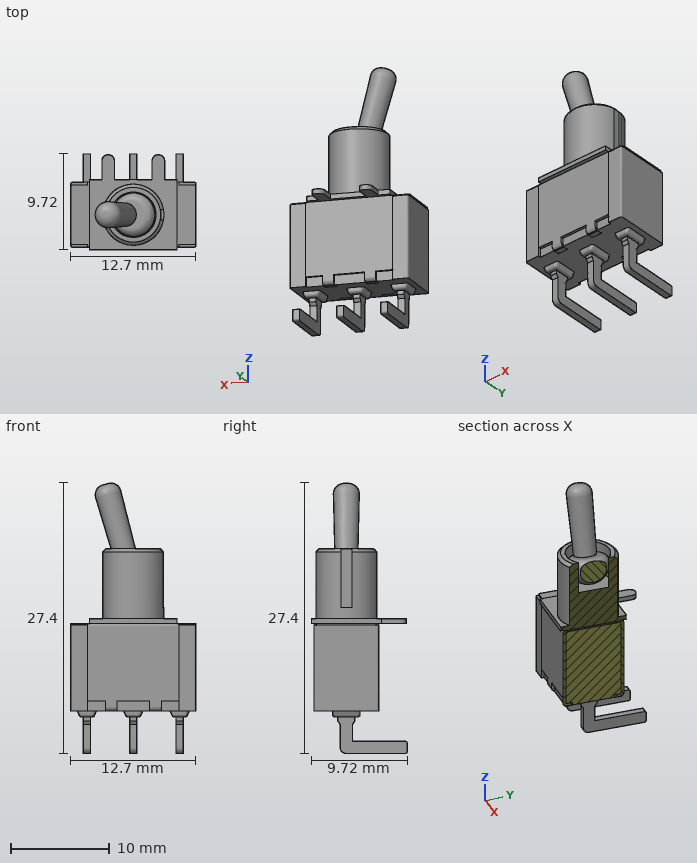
import cadquery as cq
import math


housing_length = 12.7
housing_width = 6.6
housing_height = 8.87
housing_edge_radius = 0.2

frame_length = 9.3
frame_thickness = 0.3
cover_thickness = 0.17
frame_bend_radius = frame_thickness
frame_lower_edge = 1.0
frame_corner_radius = 0.15
tab_width = 1.2
tab_spacing = 4.48
tab_bend_radius = 0.43
tab_hook_length = 1.0

plate_length = 8.9
plate_width = 7.1
plate_thickness = 0.5
finger_width = 1.3
finger_spacing = 5.08
finger_length = 2.54
bushing_diameter = 6.2
bushing_height = 7.1
bushing_chamfer = 0.33
bore_diameter = 4.6
keyway_width = 1.1
keyway_depth = 0.3
keyway_length = 6.0

ball_diameter = 4.4
ball_drop = 1.2
ball_clearance = 0.05
ball_flat_height = 0.75
ball_flat_fillet = 0.75
lever_tilt = 15.5
lever_offset = 0.66
rod_base_radius = 1.17
rod_top_radius = 1.33
rod_length = 6.41
tip_height = 1.03
tip_flat_radius = 0.3

terminal_pitch = 4.7
terminal_count = 3
terminal_thickness = 0.75
terminal_width = 1.25
shoulder_width = 1.75
shoulder_bottom = -1.0
neck_top = -1.37
foot_bottom = -4.3
foot_reach = 6.17
foot_heel_radius = 0.6
foot_tip_radius = 0.2
seal_height = 0.6
seal_top_length = 1.95
seal_bottom_length = 1.4
seal_width = 2.8
seal_edge_radius = 0.3
seal_bottom_radius = 0.28

frame_inner_width = housing_width - 2 * frame_thickness
cover_bottom = housing_height - cover_thickness
plate_top = housing_height + plate_thickness
bushing_top = plate_top + bushing_height
ball_center_height = bushing_top - ball_drop
bore_floor = ball_center_height - ball_diameter / 2 - ball_clearance
tab_centers = [-tab_spacing / 2, tab_spacing / 2]
finger_centers = [-finger_spacing / 2, finger_spacing / 2]
terminal_centers = [(i - (terminal_count - 1) / 2) * terminal_pitch for i in range(terminal_count)]


def block(length, width, bottom, top):
    """Box centred on the Z axis between two heights."""
    return cq.Workplane("XY").workplane(offset=bottom).rect(length, width).extrude(top - bottom)


def make_tab_hooks():
    """Two bent straps per long side that hook under the housing."""
    opening_width = housing_width - 2 * tab_hook_length
    strap = (
        block(tab_width, housing_width, 0, frame_lower_edge)
        .edges("|X and <Z").fillet(tab_bend_radius)
        .cut(block(tab_width, frame_inner_width, frame_thickness, frame_lower_edge))
        .cut(block(tab_width, opening_width, 0, frame_lower_edge))
    )
    hooks = strap.translate((tab_centers[0], 0, 0))
    for center in tab_centers[1:]:
        hooks = hooks.union(strap.translate((center, 0, 0)))
    return hooks


def make_frame(hooks):
    """Sheet-metal cover plate with a narrower wall bent down each long side."""
    walls = (
        block(frame_length, housing_width, frame_lower_edge, housing_height)
        .edges("|X and >Z").fillet(frame_bend_radius)
        .cut(block(frame_length, frame_inner_width, frame_lower_edge, cover_bottom))
        .edges("|Y and <Z").fillet(frame_corner_radius)
    )
    cover = (
        block(housing_length, frame_inner_width, cover_bottom, housing_height)
        .edges("|Z").fillet(frame_corner_radius)
    )
    return walls.union(cover).union(hooks)


def make_housing(hooks):
    """Rounded block with a channel down each long side and hook recesses."""
    body = block(housing_length, housing_width, 0, cover_bottom).edges("|Z").fillet(housing_edge_radius)
    channels = block(frame_length, housing_width, 0, cover_bottom).cut(
        block(frame_length, frame_inner_width, 0, cover_bottom)
    )
    return body.cut(channels).cut(hooks)


def make_bushing():
    """Mounting plate with two solder fingers, carrying the bored bushing."""
    plate = block(plate_length, plate_width, housing_height, plate_top)
    tip_center_y = plate_width / 2 + finger_length - finger_width / 2
    for center in finger_centers:
        finger = (
            cq.Workplane("XY", origin=(center, 0, housing_height))
            .moveTo(-finger_width / 2, 0)
            .lineTo(-finger_width / 2, tip_center_y)
            .threePointArc((0, tip_center_y + finger_width / 2), (finger_width / 2, tip_center_y))
            .lineTo(finger_width / 2, 0)
            .close()
            .extrude(plate_thickness)
        )
        plate = plate.union(finger)
    barrel = (
        cq.Workplane("XY", origin=(0, 0, plate_top))
        .circle(bushing_diameter / 2).extrude(bushing_height)
        .faces(">Z").edges().chamfer(bushing_chamfer)
    )
    keyway = block(2 * keyway_depth, keyway_width, bushing_top - keyway_length, bushing_top).translate(
        (bushing_diameter / 2, 0, 0)
    )
    bore = (
        cq.Workplane("XY", origin=(0, 0, bore_floor))
        .circle(bore_diameter / 2).extrude(bushing_top - bore_floor)
    )
    return plate.union(barrel).cut(keyway).cut(bore)


def make_lever():
    """Flattened ball with a tapered, round-ended rod, tilted towards -X."""
    ball_radius = ball_diameter / 2
    ball = (
        cq.Workplane("XY").sphere(ball_radius)
        .cut(block(ball_diameter, ball_diameter, ball_flat_height, ball_radius))
        .faces(">Z").edges().fillet(ball_flat_fillet)
    )
    rod_end = ball_flat_height + rod_length
    tip_top = rod_end + tip_height
    diagonal = math.sqrt(0.5)
    tip_corner = (
        tip_flat_radius + (rod_top_radius - tip_flat_radius) * diagonal,
        rod_end + tip_height * diagonal,
    )
    rod = (
        cq.Workplane("XZ")
        .lineTo(rod_base_radius, 0)
        .lineTo(rod_top_radius, rod_end)
        .threePointArc(tip_corner, (tip_flat_radius, tip_top))
        .lineTo(0, tip_top)
        .close()
        .revolve(360, (0, 0, 0), (0, 1, 0))
        .translate((-lever_offset, 0, 0))
    )
    return (
        ball.union(rod)
        .rotate((0, 0, 0), (0, 1, 0), -lever_tilt)
        .translate((0, 0, ball_center_height))
    )


def make_terminal(center):
    """L-shaped pin with a wide shoulder at the housing and a foot towards +Y."""
    half_neck = terminal_width / 2
    half_shoulder = shoulder_width / 2
    foot_top = foot_bottom + terminal_width
    outline = [
        (-half_shoulder, 0),
        (-half_shoulder, shoulder_bottom),
        (-half_neck, neck_top),
        (-half_neck, foot_bottom),
        (foot_reach, foot_bottom),
        (foot_reach, foot_top),
        (half_neck, foot_top),
        (half_neck, neck_top),
        (half_shoulder, shoulder_bottom),
        (half_shoulder, 0),
    ]
    return (
        cq.Workplane("YZ").polyline(outline).close()
        .extrude(terminal_thickness / 2, both=True)
        .faces("<Z").edges("<Y").fillet(foot_heel_radius)
        .faces(">Y").edges("|X").fillet(foot_tip_radius)
        .translate((center, 0, 0))
    )


def make_seal(center, terminal):
    """Tapered, rounded boss around a terminal under the housing."""
    outline = [
        (-seal_top_length / 2, 0),
        (-seal_bottom_length / 2, -seal_height),
        (seal_bottom_length / 2, -seal_height),
        (seal_top_length / 2, 0),
    ]
    return (
        cq.Workplane("XZ").polyline(outline).close()
        .extrude(seal_width / 2, both=True)
        .edges("not(|X or |Y)").fillet(seal_edge_radius)
        .faces("<Z").edges().fillet(seal_bottom_radius)
        .translate((center, 0, 0))
        .cut(terminal)
    )


tab_hooks = make_tab_hooks()
housing = make_housing(tab_hooks)
frame = make_frame(tab_hooks)
bushing = make_bushing()
lever = make_lever()
terminals = [make_terminal(center) for center in terminal_centers]
seals = [make_seal(center, terminal) for center, terminal in zip(terminal_centers, terminals)]

result = cq.Compound.makeCompound([
    housing.val(),
    frame.val(),
    bushing.val(),
    lever.val(),
    *[terminal.val() for terminal in terminals],
    *[seal.val() for seal in seals],
])